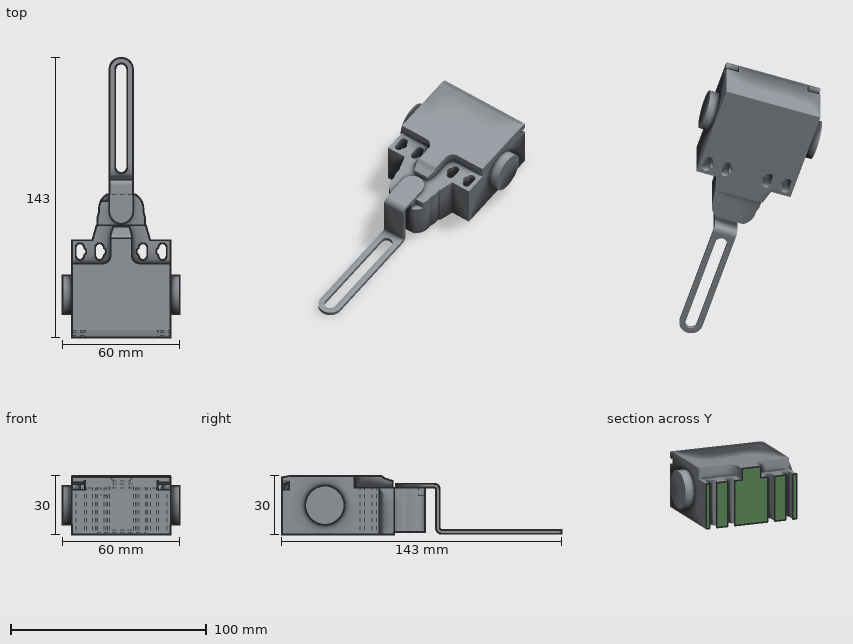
import cadquery as cq

deck_z = 24.0
joint_y = 57.4

housing_width = 50.4
housing_height = 30.0
lug_start_y = 37.8
shoulder_y = 49.8
neck_root_half_width = 14.8
neck_tip_half_width = 12.6

tongue_half_width = 5.3
tongue_tip_half_width = 4.1
tongue_taper_y = 52.7
tongue_tip_y = 56.7
tongue_root_radius = 4.5
tongue_slope_start_y = 50.7
tongue_break_z = 28.7
tongue_tip_z = 27.4

front_bevel_length = 4.0
front_bevel_drop = 0.8
side_bevel_width = 0.1
side_bevel_drop = 0.5
corner_bevel_width = 0.3
corner_bevel_length = 0.9

plug_diameter = 20.0
plug_span = 60.0
plug_y = 22.0
plug_z = 15.0

fixing_y = 44.0
fixing_pitch = 10.0
fixing_hole_diameter = 4.2
fixing_slot_length = 8.4
fixing_slot_offset = 1.1

notch_width = 6.8
notch_depth = 3.7
notch_bottom_z = 22.8
notch_top_z = 26.8
lip_z = 25.6
lip_front_z = 26.8
lip_rear_y = 2.7
lip_edge_y = 1.3
lip_gap_width = 0.6
lip_gap_top_z = 27.6
ramp_width = 2.2
ramp_front_y = 0.5
ramp_rear_y = 2.7
ramp_top_z = 25.8

head_bottom_z = 1.2
head_half_width = 12.2
head_step_start_y = 61.4
head_step_end_y = 64.2
head_nose_half_width = 11.4
head_nose_start_y = 66.0
head_nose_tip_half_width = 7.2
head_end_y = 73.2
nose_bulge_x = 10.3
nose_bulge_y = 70.0
pocket_depth = 4.0
pocket_start_y = 69.6
pocket_inner_x = -6.0

lever_width = 12.1
lever_thickness = 2.0
lever_start_y = 58.2
lever_end_y = 142.97
lever_web_y = 80.7
lever_bottom_z = 0.4
bend_inner_radius = 1.0
bend_outer_radius = bend_inner_radius + lever_thickness
lever_slot_width = 6.0
lever_slot_length = 55.9
lever_slot_margin = 3.0


def prism(points, bottom, top):
    """Vertical prism over a closed XY outline."""
    return cq.Workplane("XY").workplane(offset=bottom).polyline(points).close().extrude(top - bottom)


def mirrored_outline(right_points):
    """Close a half outline by mirroring its points across X = 0."""
    left_points = [(-x, y) for x, y in reversed(right_points)]
    return right_points + left_points


def side_prism(points, x_start, x_end):
    """Prism along X over a closed YZ outline."""
    return cq.Workplane("YZ").workplane(offset=x_start).polyline(points).close().extrude(x_end - x_start)


def make_base():
    half = housing_width / 2
    outline = mirrored_outline([
        (half, 0),
        (half, shoulder_y),
        (neck_root_half_width, shoulder_y),
        (neck_tip_half_width, joint_y),
    ])
    return prism(outline, 0, deck_z)


def make_raised_block():
    half = housing_width / 2
    plan = mirrored_outline([
        (half, 0),
        (half, lug_start_y - corner_bevel_length),
        (half - corner_bevel_width, lug_start_y),
    ])
    section = mirrored_outline([
        (half, deck_z),
        (half, housing_height - side_bevel_drop),
        (half - side_bevel_width, housing_height),
    ])
    block = prism(plan, deck_z, housing_height).intersect(
        cq.Workplane("XZ").polyline(section).close().extrude(-lug_start_y)
    )
    tongue_outline = mirrored_outline([
        (tongue_half_width, lug_start_y),
        (tongue_half_width, tongue_taper_y),
        (tongue_tip_half_width, tongue_tip_y),
    ])
    tongue = prism(tongue_outline, deck_z, housing_height)
    slope_cut = side_prism(
        [
            (tongue_slope_start_y, housing_height),
            (tongue_taper_y, tongue_break_z),
            (tongue_tip_y, tongue_tip_z),
            (tongue_tip_y, housing_height),
        ],
        -tongue_half_width, tongue_half_width,
    )
    block = block.union(tongue.cut(slope_cut))
    box_margin = 1.0
    root_corners = cq.selectors.BoxSelector(
        (-tongue_half_width - box_margin, lug_start_y - box_margin, deck_z),
        (tongue_half_width + box_margin, lug_start_y + box_margin, housing_height),
    )
    block = block.edges("|Z").edges(root_corners).fillet(tongue_root_radius)
    bevel = side_prism(
        [
            (0, housing_height),
            (front_bevel_length, housing_height),
            (0, housing_height - front_bevel_drop),
        ],
        -half, half,
    )
    return block.cut(bevel)


def make_plugs():
    return (
        cq.Workplane("YZ").workplane(offset=-plug_span / 2)
        .center(plug_y, plug_z).circle(plug_diameter / 2).extrude(plug_span)
    )


def fixing_hole(x):
    """Round hole merged with a slot on its outer side."""
    side = 1 if x > 0 else -1
    round_hole = cq.Workplane("XY").center(x, fixing_y).circle(fixing_hole_diameter / 2).extrude(deck_z)
    slot = (
        cq.Workplane("XY").center(x + side * fixing_slot_offset, fixing_y)
        .slot2D(fixing_slot_length, fixing_hole_diameter, 90).extrude(deck_z)
    )
    return round_hole.union(slot)


def corner_notch():
    """Latch notch at the front left corner, with a pointed lip above it and a ramp on its floor."""
    outer_x = -housing_width / 2
    inner_x = outer_x + notch_width
    opening = side_prism(
        [
            (0, notch_bottom_z),
            (notch_depth, notch_bottom_z),
            (notch_depth, notch_top_z),
            (lip_rear_y, notch_top_z),
            (lip_edge_y, lip_z),
            (0, lip_front_z),
        ],
        outer_x, inner_x,
    )
    lip_gap = side_prism(
        [
            (0, notch_bottom_z),
            (notch_depth, notch_bottom_z),
            (notch_depth, lip_gap_top_z),
            (0, lip_gap_top_z),
        ],
        inner_x - lip_gap_width, inner_x,
    )
    ramp_inner_x = inner_x - lip_gap_width / 2
    ramp = side_prism(
        [
            (ramp_front_y, notch_bottom_z),
            (ramp_rear_y, ramp_top_z),
            (notch_depth, ramp_top_z),
            (notch_depth, notch_bottom_z),
        ],
        ramp_inner_x - ramp_width, ramp_inner_x,
    )
    return opening.union(lip_gap).cut(ramp)


def make_housing():
    housing = make_base().union(make_raised_block()).union(make_plugs())
    for side in (-1, 1):
        for step in (1, 2):
            housing = housing.cut(fixing_hole(side * step * fixing_pitch))
    notch = corner_notch()
    return housing.cut(notch).cut(notch.mirror("YZ"))


def make_head():
    outline = (
        cq.Workplane("XY").workplane(offset=head_bottom_z)
        .moveTo(-head_half_width, joint_y)
        .lineTo(head_half_width, joint_y)
        .lineTo(head_half_width, head_step_start_y)
        .lineTo(head_nose_half_width, head_step_end_y)
        .lineTo(head_nose_half_width, head_nose_start_y)
        .threePointArc((nose_bulge_x, nose_bulge_y), (head_nose_tip_half_width, head_end_y))
        .lineTo(-head_nose_tip_half_width, head_end_y)
        .threePointArc((-nose_bulge_x, nose_bulge_y), (-head_nose_half_width, head_nose_start_y))
        .lineTo(-head_nose_half_width, head_step_end_y)
        .lineTo(-head_half_width, head_step_start_y)
        .close()
    )
    head = outline.extrude(deck_z - head_bottom_z)
    pocket = prism(
        [
            (-head_half_width, pocket_start_y),
            (pocket_inner_x, pocket_start_y),
            (pocket_inner_x, head_end_y),
            (-head_half_width, head_end_y),
        ],
        deck_z - pocket_depth, deck_z,
    )
    return head.cut(pocket)


def make_lever():
    top_z = deck_z + lever_thickness
    foot_z = lever_bottom_z + lever_thickness
    inner_web_y = lever_web_y - lever_thickness
    strip = side_prism(
        [
            (lever_start_y, deck_z),
            (inner_web_y, deck_z),
            (inner_web_y, lever_bottom_z),
            (lever_end_y, lever_bottom_z),
            (lever_end_y, foot_z),
            (lever_web_y, foot_z),
            (lever_web_y, top_z),
            (lever_start_y, top_z),
        ],
        -lever_width / 2, lever_width / 2,
    )
    bends = (
        (inner_web_y, deck_z, bend_inner_radius),
        (lever_web_y, top_z, bend_outer_radius),
        (lever_web_y, foot_z, bend_inner_radius),
        (inner_web_y, lever_bottom_z, bend_outer_radius),
    )
    for y, z, radius in bends:
        strip = strip.edges(cq.selectors.NearestToPointSelector((0, y, z))).fillet(radius)
    plan_length = lever_end_y - lever_start_y
    round_ended_plan = (
        cq.Workplane("XY").center(0, lever_start_y + plan_length / 2)
        .slot2D(plan_length, lever_width, 90).extrude(top_z)
    )
    slot_y = lever_end_y - lever_slot_margin - lever_slot_length / 2
    slot = (
        cq.Workplane("XY").center(0, slot_y)
        .slot2D(lever_slot_length, lever_slot_width, 90).extrude(foot_z)
    )
    return strip.intersect(round_ended_plan).cut(slot)


housing = make_housing()
head = make_head()
lever = make_lever()

result = cq.Compound.makeCompound([housing.val(), head.val(), lever.val()])